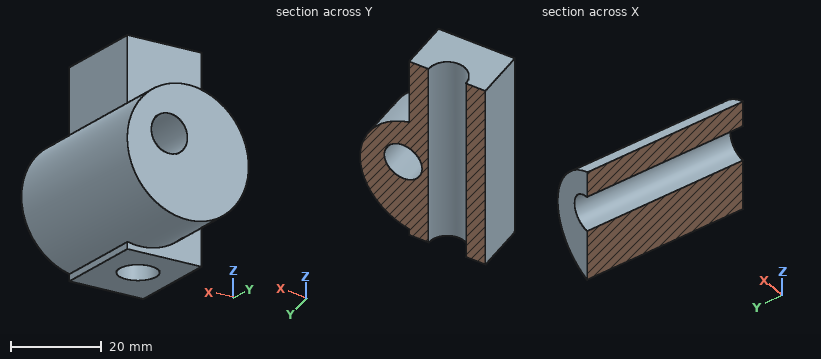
import cadquery as cq

block_width = 19.6
block_depth = 23.4
block_height = 50.8

overall_width = 32.25
body_diameter = 32.1
body_length = 42.55
body_x = overall_width - body_diameter / 2
body_z = 17.35

hole_diameter = 9.55
cross_hole_x = 21.15
cross_hole_z = 20.8
upright_hole_x = block_width / 2
upright_hole_y = 12.75


def cylinder_along_y(diameter, x, z):
    """Cylinder over the full body length, starting at the front face."""
    return (
        cq.Workplane("XZ")
        .center(x, z)
        .circle(diameter / 2)
        .extrude(-body_length)
    )


block = cq.Workplane("XY").box(block_width, block_depth, block_height, centered=False)
body = cylinder_along_y(body_diameter, body_x, body_z)

cross_hole = cylinder_along_y(hole_diameter, cross_hole_x, cross_hole_z)
upright_hole = (
    cq.Workplane("XY")
    .center(upright_hole_x, upright_hole_y)
    .circle(hole_diameter / 2)
    .extrude(block_height)
)

result = block.union(body).cut(cross_hole).cut(upright_hole)